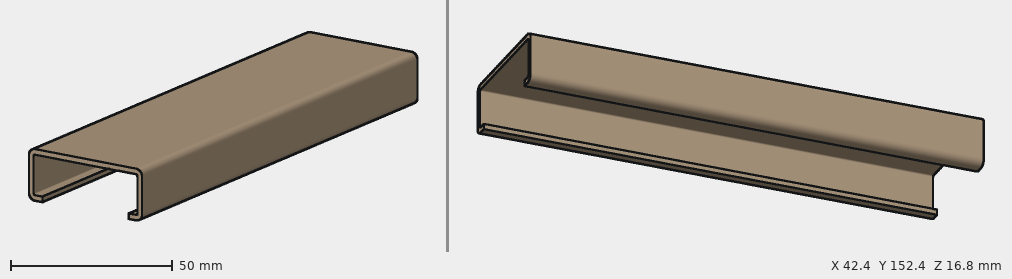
import cadquery as cq

length = 152.4
width = 42.4
height = 16.8

thickness = 1.8
outer_bend_radius = 2.3
inner_bend_radius = outer_bend_radius - thickness
lip_width = 5.0

inner_width = width - 2 * thickness
inner_height = height - 2 * thickness
slot_width = width - 2 * lip_width


def bar(bar_width, bar_height):
    """Solid bar along Y, centred on the origin."""
    return cq.Workplane("XY").box(bar_width, length, bar_height)


outside = bar(width, height).edges("|Y").fillet(outer_bend_radius)
inside = bar(inner_width, inner_height).edges("|Y").fillet(inner_bend_radius)
tube = outside.cut(inside)

slot = bar(slot_width, height / 2).translate((0, 0, -height / 2))

result = tube.cut(slot)